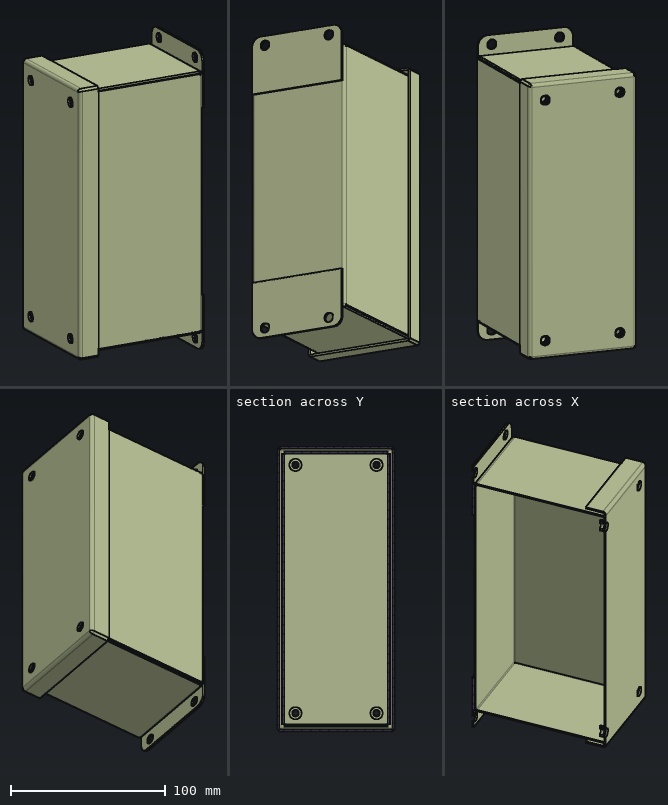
import cadquery as cq

overall_depth = 95.12
overall_height = 203.2
sheet = 1.52

cover_width = 76.2
cover_height = 184.15
cover_depth = 14.29
cover_bend_radius = 2.3
cover_chamfer = 1.6

housing_width = 69.85
housing_height = 177.8
housing_bend_radius = 2.15
housing_front = sheet
housing_back = overall_depth - sheet

plate_width = 66.68
plate_height = 38.1
plate_corner_radius = 6.35
mount_hole_diameter = 6.35
mount_hole_pitch = 47.63
mount_hole_inset = 6.35

insert_pitch_x = 52.4
insert_pitch_z = 160.4
clearance_diameter = 6.35
insert_diameter = 7.92
insert_length = 3.0
bore_diameter = 4.04
bore_mouth_diameter = 5.49

insert_places = [
    (x_side * insert_pitch_x / 2, z_side * insert_pitch_z / 2)
    for x_side in (-1, 1)
    for z_side in (-1, 1)
]


def block(width, height, y_front, y_back):
    """Box centred on X and Z, running from y_front to y_back."""
    depth = y_back - y_front
    return cq.Workplane("XY").box(width, depth, height).translate((0, y_front + depth / 2, 0))


def disc(diameter, y_front, y_back, x, z):
    """Round bar along Y at one place."""
    length = y_back - y_front
    return cq.Workplane("XZ", origin=(x, y_front, z)).circle(diameter / 2).extrude(-length)


def make_housing():
    """Box open to the front, with bent back edges and open seams at its four long corners."""
    rounded = block(housing_width, housing_height, housing_front, housing_back)
    rounded = rounded.edges("|Y or >Y").fillet(housing_bend_radius)
    straight_back = housing_back - housing_bend_radius
    squared = block(housing_width, housing_height, housing_front, straight_back)
    seam_pitch_x = housing_width - sheet
    seam_pitch_z = housing_height - sheet
    seams = (
        cq.Workplane("XZ", origin=(0, housing_front, 0))
        .rect(seam_pitch_x, seam_pitch_z, forConstruction=True)
        .vertices()
        .rect(sheet, sheet)
        .extrude(-(straight_back - housing_front))
    )
    body = rounded.union(squared).cut(seams)
    inner_width = housing_width - 2 * sheet
    inner_height = housing_height - 2 * sheet
    cavity = block(inner_width, inner_height, housing_front, housing_back - sheet)
    cavity = cavity.edges("|Y or >Y").fillet(housing_bend_radius - sheet)
    return body.cut(cavity)


def make_cover():
    """Shallow lid with bent front edges, bevelled rim corners and four clearance holes."""
    body = block(cover_width, cover_height, 0, cover_depth)
    body = body.edges("|Y").chamfer(cover_chamfer)
    body = body.faces("<Y").edges().fillet(cover_bend_radius)
    inner_width = cover_width - 2 * sheet
    inner_height = cover_height - 2 * sheet
    cavity = block(inner_width, inner_height, sheet, cover_depth)
    cavity = cavity.edges("|Y or <Y").fillet(cover_bend_radius - sheet)
    body = body.cut(cavity)
    for x, z in insert_places:
        body = body.cut(disc(clearance_diameter, 0, sheet, x, z))
    return body


def make_insert(x, z):
    """Round insert against the inner face of the cover, with a flared through bore."""
    y_front = sheet
    y_back = y_front + insert_length
    body = disc(insert_diameter, y_front, y_back, x, z)
    bore = disc(bore_diameter, y_front, y_back, x, z)
    flare_depth = (bore_mouth_diameter - bore_diameter) / 2
    flare = cq.Solid.makeCone(
        bore_mouth_diameter / 2,
        bore_diameter / 2,
        flare_depth,
        cq.Vector(x, y_front, z),
        cq.Vector(0, 1, 0),
    )
    return body.cut(bore).cut(cq.Workplane(flare))


def make_plate(end):
    """Wall plate on the housing back; end is +1 for the upper plate and -1 for the lower."""
    z_middle = end * (overall_height - plate_height) / 2
    plate = block(plate_width, plate_height, housing_back, overall_depth).translate((0, 0, z_middle))
    outer_edges = ">Z" if end > 0 else "<Z"
    plate = plate.faces(outer_edges).edges("|Y").fillet(plate_corner_radius)
    z_hole = end * (overall_height / 2 - mount_hole_inset)
    for side in (-1, 1):
        x_hole = side * mount_hole_pitch / 2
        plate = plate.cut(disc(mount_hole_diameter, housing_back, overall_depth, x_hole, z_hole))
    return plate


housing = make_housing()
cover = make_cover()
inserts = [make_insert(x, z) for x, z in insert_places]
plates = [make_plate(end) for end in (-1, 1)]

result = cq.Compound.makeCompound(
    [
        housing.val(),
        cover.val(),
        *[insert.val() for insert in inserts],
        *[plate.val() for plate in plates],
    ]
)